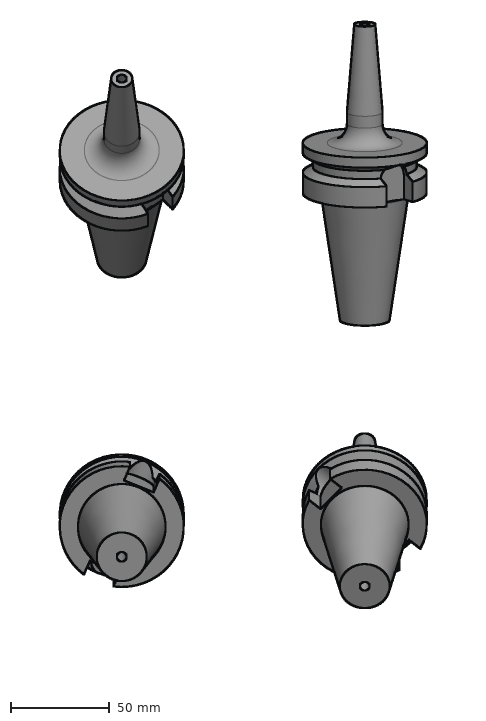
import cadquery as cq

total_height = 154.3
gauge_height = 65.5
flange_bottom = 66.3
flange_top = 92.5
groove_bottom = 77.0
groove_top = 87.2
tip_cone_base = 108.5

flange_radius = 31.5
groove_radius = 26.4
gauge_radius = 22.2
neck_radius = 9.1
neck_fillet = 9.9
tip_radius = 5.4
bore_diameter = 5.0

shank_taper = 7 / 24
shank_end_radius = gauge_radius - gauge_height * shank_taper / 2

groove_wall = 3.0

slot_width = 16.2
slot_floor = 22.7


def turned_body():
    """Shank, V-grooved flange, neck and conical tip, turned about Z."""
    fillet_end = (neck_radius, flange_top + neck_fillet)
    profile = (
        cq.Workplane("XZ")
        .lineTo(shank_end_radius, 0)
        .lineTo(gauge_radius, gauge_height)
        .lineTo(gauge_radius, flange_bottom)
        .lineTo(flange_radius, flange_bottom)
        .lineTo(flange_radius, groove_bottom)
        .lineTo(groove_radius, groove_bottom + groove_wall)
        .lineTo(groove_radius, groove_top - groove_wall)
        .lineTo(flange_radius, groove_top)
        .lineTo(flange_radius, flange_top)
        .lineTo(neck_radius + neck_fillet, flange_top)
        .radiusArc(fillet_end, neck_fillet)
        .lineTo(neck_radius, tip_cone_base)
        .lineTo(tip_radius, total_height)
        .lineTo(0, total_height)
        .close()
    )
    return profile.revolve(360, (0, 0, 0), (0, 1, 0))


def drive_slot():
    """Round-topped slot cutter on the +X side, open at the flange bottom."""
    half_width = slot_width / 2
    arc_base = groove_top - half_width
    return (
        cq.Workplane("YZ", origin=(slot_floor, 0, 0))
        .moveTo(-half_width, flange_bottom)
        .lineTo(half_width, flange_bottom)
        .lineTo(half_width, arc_base)
        .threePointArc((0, groove_top), (-half_width, arc_base))
        .close()
        .extrude(flange_radius - slot_floor)
    )


def through_bore():
    """Straight coolant bore along the whole axis."""
    return cq.Workplane("XY").circle(bore_diameter / 2).extrude(total_height)


result = turned_body().cut(through_bore())
for angle in (0, 180):
    result = result.cut(drive_slot().rotate((0, 0, 0), (0, 0, 1), angle))